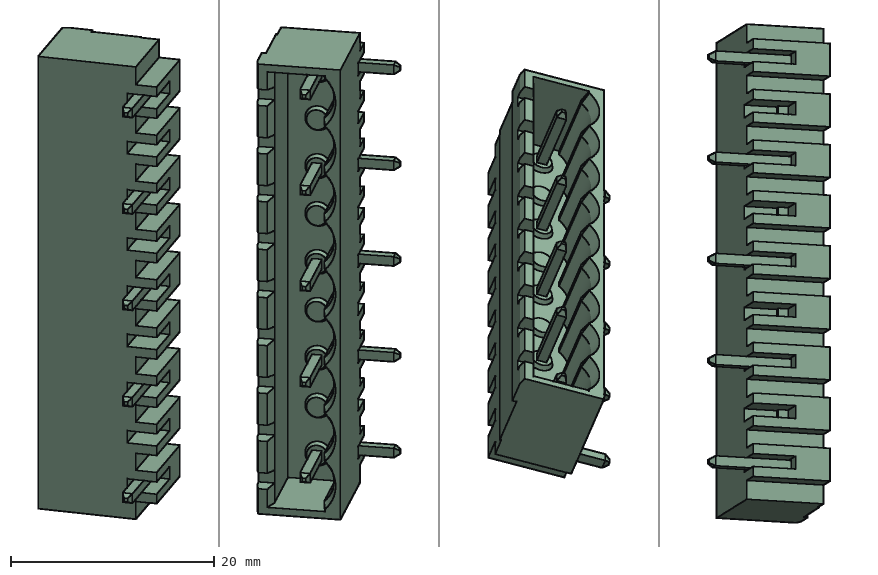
import cadquery as cq


length = 47.7
pole_count = 9
pole_span = 40.65
pitch = pole_span / (pole_count - 1)
first_pole_z = (length - pole_span) / 2
pole_z = [first_pole_z + i * pitch for i in range(pole_count)]
pinned_pole_z = pole_z[::2]

body_depth = 10.05
overall_depth = 12.2
rear_height = 7.9
middle_height = 8.05
lip_height = 8.5
lip_end_x = 3.05
middle_end_x = 8.2
lip_chamfer_x = 0.75
lip_chamfer_y = 0.25

end_wall = 0.75
pocket_depth = 8.2
lead_in_depth = 1.35
mouth_wall_y = 7.35
inner_wall_y = 6.85
mouth_valley_y = 0.5
inner_valley_y = 0.9
mouth_cusp_y = 1.55
inner_cusp_y = 1.9
mouth_cusp_width = 0.1
inner_cusp_width = 0.55
notch_mouth_width = 1.7
notch_floor_width = 1.35

boss_base_radius = 1.3
boss_top_radius = 1.05
boss_height = 0.5

tooth_width = 3.3
slot_width = 1.3
slot_start_x = 9.15

pin_size = 1.0
pin_axis_y = 3.85
pin_leg_x = 10.25
pin_drop = 4.0
pin_front_x = 1.05
tip_length = 0.55
tip_size = 0.4


def make_housing():
    profile = [
        (0, 0),
        (body_depth, 0),
        (body_depth, rear_height),
        (middle_end_x, rear_height),
        (middle_end_x, middle_height),
        (lip_end_x, middle_height),
        (lip_end_x, lip_height),
        (lip_chamfer_x, lip_height),
        (0, lip_height - lip_chamfer_y),
    ]
    return cq.Workplane("XY").polyline(profile).close().extrude(length)


def pocket_outline(x, wall_y, valley_y, cusp_y, cusp_width):
    """Pocket section at depth x: straight +Y wall, one scallop per pole on the -Y wall."""
    half_scallop = (pitch - cusp_width) / 2
    outline = cq.Workplane("YZ", origin=(x, 0, 0)).moveTo(wall_y, end_wall).lineTo(cusp_y, end_wall)
    for z in pole_z:
        outline = outline.lineTo(cusp_y, z - half_scallop)
        outline = outline.threePointArc((valley_y, z), (cusp_y, z + half_scallop))
    return outline.lineTo(cusp_y, length - end_wall).lineTo(wall_y, length - end_wall).close()


def make_pocket():
    mouth = pocket_outline(0, mouth_wall_y, mouth_valley_y, mouth_cusp_y, mouth_cusp_width)
    inner = pocket_outline(lead_in_depth, inner_wall_y, inner_valley_y, inner_cusp_y, inner_cusp_width)
    lead_in = cq.Solid.makeLoft([mouth.wire().val(), inner.wire().val()], True)
    return inner.extrude(pocket_depth - lead_in_depth).union(cq.Workplane(lead_in))


def make_lip_notch(z):
    """Keying notch across the lip, narrowing from the mouth to its floor."""
    half_mouth = notch_mouth_width / 2
    half_floor = notch_floor_width / 2
    profile = [
        (0, z - half_mouth),
        (lead_in_depth, z - half_floor),
        (lead_in_depth, z + half_floor),
        (0, z + half_mouth),
    ]
    notch = cq.Workplane("XZ", origin=(0, lip_height, 0)).polyline(profile).close()
    return notch.extrude(lip_height - inner_wall_y)


def make_boss(z):
    cone = cq.Solid.makeCone(
        boss_base_radius,
        boss_top_radius,
        boss_height,
        pnt=cq.Vector(pocket_depth, pin_axis_y, z),
        dir=cq.Vector(-1, 0, 0),
    )
    return cq.Workplane(cone)


def make_tooth(z):
    depth = overall_depth - body_depth
    tooth = cq.Workplane("XY").box(depth, rear_height, tooth_width, centered=(False, False, True))
    return tooth.translate((body_depth, 0, z))


def slot_section(z, start_x, top_y):
    size_x = overall_depth - start_x
    section = cq.Workplane("XY").box(size_x, top_y, slot_width, centered=(False, False, True))
    return section.translate((start_x, 0, z))


def make_pin_slot(z):
    """Stepped slot open to -Y and +X: shallow in front of the pin leg, deeper from the leg on."""
    leg_front_x = pin_leg_x - pin_size / 2
    shallow = slot_section(z, slot_start_x, pin_axis_y - pin_size / 2)
    deep = slot_section(z, leg_front_x, pin_axis_y + pin_size / 2)
    return shallow.union(deep)


def make_bar(plane, end_to_tip):
    """Square bar along the plane normal, ending in a tapered tip."""
    shank = cq.Workplane(plane).rect(pin_size, pin_size).extrude(end_to_tip - tip_length)
    tip = (
        shank.faces(cq.selectors.DirectionMinMaxSelector(plane.zDir, True))
        .workplane()
        .rect(pin_size, pin_size)
        .workplane(offset=tip_length)
        .rect(tip_size, tip_size)
        .loft(ruled=True, combine=False)
    )
    return shank.union(tip)


def make_pin(z):
    """L-shaped pin: contact arm toward -X, solder leg toward -Y."""
    overlap = pin_size / 2
    arm_plane = cq.Plane((pin_leg_x + overlap, pin_axis_y, z), (0, 1, 0), (-1, 0, 0))
    leg_plane = cq.Plane((pin_leg_x, pin_axis_y + overlap, z), (1, 0, 0), (0, -1, 0))
    arm = make_bar(arm_plane, pin_leg_x + overlap - pin_front_x)
    leg = make_bar(leg_plane, pin_axis_y + overlap + pin_drop)
    return arm.union(leg)


result = make_housing().cut(make_pocket())
for z in pole_z:
    result = result.cut(make_lip_notch(z))
    result = result.union(make_boss(z))
    result = result.union(make_tooth(z))
    result = result.cut(make_pin_slot(z))
for z in pinned_pole_z:
    result = result.union(make_pin(z))